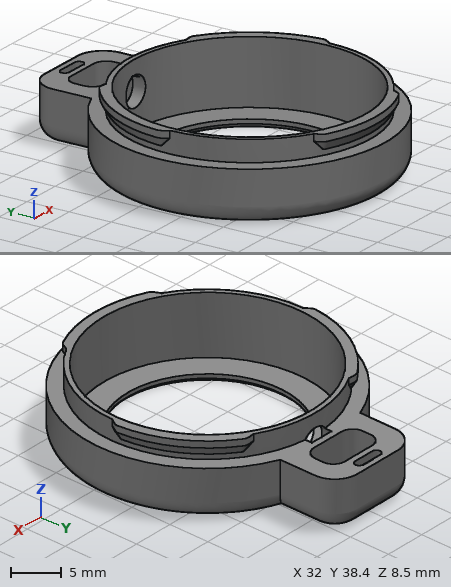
import cadquery as cq
import math

overall_length = 38.37
overall_height = 8.5
body_radius = 32.0 / 2
body_height = 6.02
bottom_round = 2.0

bore_radius = 27.3 / 2
collar_radius = 28.5 / 2
floor_thickness = 1.0
window_radius = 21.0 / 2
window_chamfer = 0.5

tab_width = 11.97
tab_end_y = overall_length - body_radius
tab_corner = 3.0
strap_width = 7.05
strap_height = 4.03
strap_center_y = 17.85
strap_corner = 1.5
groove_length = 3.6
groove_width = 1.05
groove_depth = 1.0
groove_center_y = 21.1

pocket_radius = 3.5 / 2
pocket_center_z = 5.05
pocket_end_y = 15.05

lug_count = 3
lug_radius = 14.9
lug_tip_half_angle = 26.5
lug_root_half_angle = 30
lug_corner = 1.0
lug_rim_height = 0.8
lug_taper_height = 1.07
lug_taper_angle = math.degrees(math.atan((lug_radius - collar_radius) / lug_taper_height))


def polar(radius, angle):
    """Point at an angle in degrees, measured from the -Y direction."""
    turn = math.radians(angle)
    return (radius * math.sin(turn), -radius * math.cos(turn))


def make_body():
    """Disc and tab joined, with the bottom edge rounded all the way around."""
    disc = cq.Workplane("XY").circle(body_radius).extrude(body_height)
    tab = (
        cq.Workplane("XY")
        .center(0, tab_end_y / 2)
        .rect(tab_width, tab_end_y)
        .extrude(body_height)
        .edges("|Z and >Y")
        .fillet(tab_corner)
    )
    return disc.union(tab).faces("<Z").edges().fillet(bottom_round)


def make_collar():
    """Solid cylinder through the body, hollowed later by the bore."""
    return cq.Workplane("XY").circle(collar_radius).extrude(overall_height)


def make_lug():
    """Lug at -Y: an upright rim above a part that tapers back into the collar.

    The outline runs in to the centre, so the lug overlaps the collar fully.
    """
    rim_z = overall_height - lug_rim_height
    left_tip = polar(lug_radius, -lug_tip_half_angle)
    right_tip = polar(lug_radius, lug_tip_half_angle)
    rim = (
        cq.Workplane("XY", origin=(0, 0, rim_z))
        .lineTo(*polar(collar_radius, -lug_root_half_angle))
        .lineTo(*left_tip)
        .threePointArc(polar(lug_radius, 0), right_tip)
        .lineTo(*polar(collar_radius, lug_root_half_angle))
        .close()
        .extrude(lug_rim_height)
    )
    for tip in (left_tip, right_tip):
        tip_edge = cq.NearestToPointSelector((*tip, rim_z + lug_rim_height / 2))
        rim = rim.edges(tip_edge).fillet(lug_corner)
    taper = (
        cq.Workplane("XY", origin=(0, 0, rim_z))
        .add(rim.faces("<Z").wires().vals())
        .toPending()
        .extrude(-lug_taper_height, taper=lug_taper_angle)
    )
    return rim.union(taper)


def bore_cut():
    """Main bore down to the floor, and the window chamfered on the underside."""
    bore = (
        cq.Workplane("XY", origin=(0, 0, floor_thickness))
        .circle(bore_radius)
        .extrude(overall_height - floor_thickness)
    )
    window = (
        cq.Workplane("XZ")
        .lineTo(window_radius + window_chamfer, 0)
        .lineTo(window_radius, window_chamfer)
        .lineTo(window_radius, floor_thickness)
        .lineTo(0, floor_thickness)
        .close()
        .revolve(360, (0, 0), (0, 1))
    )
    return bore.union(window)


def pocket_cut():
    """Cylinder along +Y from the part's axis to the flat end of the pocket."""
    return (
        cq.Workplane("XZ", origin=(0, 0, pocket_center_z))
        .circle(pocket_radius)
        .extrude(-pocket_end_y)
    )


def strap_hole_cut():
    """Rounded rectangular hole through the tab."""
    return (
        cq.Workplane("XY")
        .center(0, strap_center_y)
        .rect(strap_width, strap_height)
        .extrude(body_height)
        .edges("|Z")
        .fillet(strap_corner)
    )


def groove_cut():
    """Blind slot in the top of the tab."""
    return (
        cq.Workplane("XY", origin=(0, groove_center_y, body_height))
        .slot2D(groove_length, groove_width)
        .extrude(-groove_depth)
    )


result = make_body().union(make_collar())

lug = make_lug()
for index in range(lug_count):
    result = result.union(lug.rotate((0, 0, 0), (0, 0, 1), index * 360 / lug_count))

for cut in (bore_cut(), pocket_cut(), strap_hole_cut(), groove_cut()):
    result = result.cut(cut)